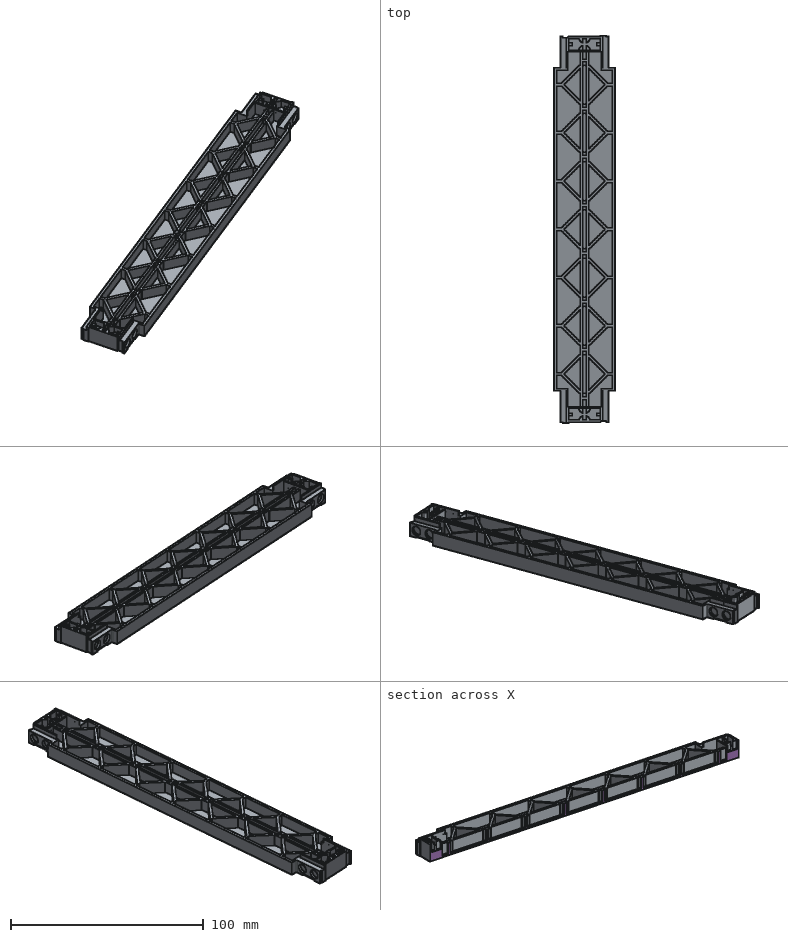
import cadquery as cq

length = 200.8
body_width = 31.7
body_height = 7.6
total_height = 10.0

floor = 1.2
side_wall = 1.6
end_wall = 1.2

key_step = 0.5
end_face_y = length / 2 - key_step
tab_length = 16.3
tab_width = 24.9
shoulder_y = end_face_y - tab_length
shoulder_fillet = 0.5
rim_width = 18.9
end_pocket_width = 16.5
neck_pocket_width = 17.5
cross_wall_inset = 7.2
cross_wall = 0.7
end_floor = 5.5
fitting_height = 9.0

key_inner_x = 8.2
key_outer_x = 11.2
groove_depth = 0.6
groove_slope = 0.6

pin_diameter = 5.0
pin_pitch = 8.0
pin_inset = pin_pitch / 2
pin_height = 4.0
pin_depth = 1.5
notch_height = 0.6
notch_depth = 0.6

post_radius = 3.0
post_spacing = 7.2
stub_length = 2.0

rib = 1.5
spine_width = 4.5
spine_slot = 1.8
lattice_count = 7
lattice_span = 150.0
lattice_pitch = lattice_span / (lattice_count - 1)
diagonal_tip_x = 11.6

spine_end_y = end_face_y - cross_wall_inset - cross_wall / 2


def block(x0, x1, y0, y1, z0, z1):
    """Axis-aligned box between two opposite corners."""
    return cq.Workplane("XY").box(x1 - x0, y1 - y0, z1 - z0, centered=False).translate((x0, y0, z0))


def centred(width, y0, y1, z0, z1):
    """Box centred on X = 0."""
    return block(-width / 2, width / 2, y0, y1, z0, z1)


def both_ends(shape):
    """The shape together with its copy turned half a turn about Z."""
    return shape.union(shape.rotate((0, 0, 0), (0, 0, 1), 180))


def outer_solid():
    """Wide body, narrower end tabs and the raised rims on the tabs."""
    body = centred(body_width, -shoulder_y, shoulder_y, 0, body_height)
    body = body.union(centred(tab_width, -end_face_y, end_face_y, 0, body_height))
    corners = cq.selectors.BoxSelector(
        (-tab_width / 2 - side_wall, -shoulder_y - side_wall, 0),
        (tab_width / 2 + side_wall, shoulder_y + side_wall, body_height),
    )
    body = body.edges("|Z").edges(corners).fillet(shoulder_fillet)
    return body.union(both_ends(centred(rim_width, shoulder_y, end_face_y, 0, total_height)))


def interior():
    """Open pocket of the body, necks and end compartments."""
    body_end = shoulder_y - end_wall
    neck_end = end_face_y - cross_wall_inset - cross_wall
    pocket = centred(body_width - 2 * side_wall, -body_end, body_end, floor, total_height)
    pocket = pocket.union(centred(neck_pocket_width, -neck_end, neck_end, floor, total_height))
    end = centred(end_pocket_width, neck_end, end_face_y - end_wall, end_floor, total_height)
    return pocket.union(both_ends(end))


def cross_walls():
    """Thin walls that close the end compartments."""
    y0 = end_face_y - cross_wall_inset - cross_wall
    return both_ends(centred(rim_width, y0, y0 + cross_wall, 0, fitting_height))


def spine():
    """Twin centre rib with bridges where the diagonals arrive."""
    twin = centred(spine_width, -spine_end_y, spine_end_y, 0, body_height)
    twin = twin.cut(centred(spine_slot, -spine_end_y, spine_end_y, floor, body_height))
    for i in range(lattice_count + 1):
        y = (i - lattice_count / 2) * lattice_pitch
        twin = twin.union(centred(spine_slot, y - rib / 2, y + rib / 2, 0, body_height))
    return twin


def diagonal_pair(side, y):
    """Stub on a side wall and the two 45 degree ribs that run from it to the spine."""
    half_x = rib / 2 * 2 ** 0.5
    inner_x = (spine_width + spine_slot) / 4
    rise = diagonal_tip_x - inner_x
    outline = [
        (diagonal_tip_x + half_x, 0),
        (inner_x + half_x, rise),
        (inner_x - half_x, rise),
        (diagonal_tip_x - half_x, 0),
        (inner_x - half_x, -rise),
        (inner_x + half_x, -rise),
    ]
    outline = [(side * px, y + py) for px, py in outline]
    ribs = cq.Workplane("XY").polyline(outline).close().extrude(body_height)
    wall_x = body_width / 2 - side_wall / 2
    x0, x1 = sorted((side * diagonal_tip_x, side * wall_x))
    return ribs.union(block(x0, x1, y - rib / 2, y + rib / 2, 0, body_height))


def end_fittings():
    """Half-round posts and wall stubs in the end compartments."""
    wall_y = end_face_y - cross_wall_inset
    compartment = centred(end_pocket_width, wall_y, end_face_y - end_wall, 0, total_height)
    y = end_face_y - pin_inset
    centres = [(0, y - post_spacing / 2), (0, y + post_spacing / 2)]
    posts = cq.Workplane("XY").pushPoints(centres).circle(post_radius).extrude(total_height)
    posts = posts.intersect(compartment)
    half = end_pocket_width / 2
    for x in (-half, half - stub_length):
        posts = posts.union(block(x, x + stub_length, y - rib / 2, y + rib / 2, 0, fitting_height))
    return both_ends(posts)


def end_slots():
    """Slots that carry the gap of the spine through the posts."""
    y0 = end_face_y - cross_wall_inset
    y1 = end_face_y - end_wall
    return both_ends(centred(spine_slot, y0, y1, end_floor, total_height))


def pin_sockets():
    """Blind round sockets in the outer sides of the tabs, with a notch under each pair."""
    cuts = cq.Workplane("XY")
    y_first = end_face_y - pin_inset
    x_face = tab_width / 2
    for y in (y_first, y_first - pin_pitch):
        socket = cq.Workplane("YZ").center(y, pin_height).circle(pin_diameter / 2).extrude(pin_depth)
        cuts = cuts.add(socket.translate((x_face - pin_depth, 0, 0)))
        cuts = cuts.add(socket.translate((-x_face, 0, 0)))
    for x in (-x_face, x_face - notch_depth):
        cuts = cuts.add(block(x, x + notch_depth, y_first - pin_pitch, y_first, 0, notch_height))
    return both_ends(cuts.combine())


def key_prism(outline):
    """Upright prism that follows the stepped height of tab and rim."""
    low = cq.Workplane("XY").polyline(outline).close().extrude(body_height)
    high = cq.Workplane("XY").polyline(outline).close().extrude(total_height)
    return low.union(high.intersect(centred(rim_width, 0, length, 0, total_height)))


def tongues():
    """Bars that stand proud of one side of each end face."""
    outline = [
        (key_inner_x, end_face_y - end_wall / 2),
        (key_outer_x, end_face_y - end_wall / 2),
        (key_outer_x, length / 2),
        (key_inner_x, length / 2),
    ]
    return both_ends(key_prism(outline))


def grooves():
    """Recesses on the other side of each end face, sloped on the inner flank."""
    outline = [
        (-key_inner_x, end_face_y),
        (-key_inner_x - groove_slope, end_face_y - groove_depth),
        (-key_outer_x, end_face_y - groove_depth),
        (-key_outer_x, end_face_y),
    ]
    return both_ends(key_prism(outline))


result = outer_solid().cut(interior()).union(cross_walls()).union(spine()).union(end_fittings())
result = result.cut(end_slots())
for row in range(lattice_count):
    row_y = (row - (lattice_count - 1) / 2) * lattice_pitch
    for side in (-1, 1):
        result = result.union(diagonal_pair(side, row_y))
result = result.cut(pin_sockets())
result = result.union(tongues()).cut(grooves())